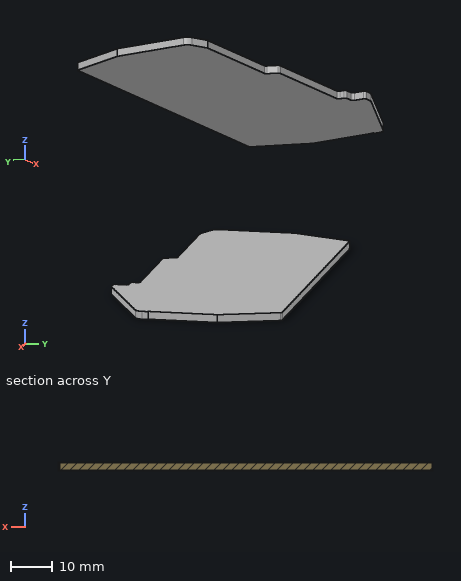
import cadquery as cq
import math

length = 90.85
width = 46.5
thickness = 2.0

lip = 0.3
body_right = length - lip
taper_run = 5.45
shoulder_y = 31.6
lip_top_y = 14.5

left_foot_y = 9.2
middle_foot_y = 5.9
notch_y = 3.7
left_foot_end = 32.0
middle_foot_start = 33.2
middle_foot_end = 60.3
toe_start = 63.3
toe_end = 66.0

slope = math.tan(math.radians(25))
left_slope_end = 5.3
left_slope_top = left_foot_y + left_slope_end * slope
right_slope_top = (length - toe_end) * slope

end_radius = 2.0
small_radius = 0.5

outline = [
    (taper_run, width),
    (body_right - taper_run, width),
    (body_right, shoulder_y),
    (body_right, lip_top_y),
    (length, lip_top_y),
    (length, right_slope_top),
    (toe_end, 0),
    (toe_start, 0),
    (toe_start, notch_y),
    (middle_foot_end, notch_y),
    (middle_foot_end, middle_foot_y),
    (middle_foot_start, middle_foot_y),
    (left_foot_end, left_foot_y),
    (left_slope_end, left_foot_y),
    (0, left_slope_top),
    (0, shoulder_y),
]


def round_corners(plate, corners, radius):
    """Round the upright edges that stand at the given outline corners."""
    edges = cq.Workplane("XY")
    for x, y in corners:
        corner_edge = plate.edges(cq.NearestToPointSelector((x, y, thickness / 2)))
        edges = edges.add(corner_edge.vals())
    return cq.Workplane(plate.val().fillet(radius, edges.vals()))


plate = cq.Workplane("XY").polyline(outline).close().extrude(thickness)

end_corners = [(0, left_slope_top), (length, right_slope_top)]
plate = round_corners(plate, end_corners, end_radius)

small_corners = [
    (taper_run, width),
    (body_right - taper_run, width),
    (toe_end, 0),
    (toe_start, 0),
    (toe_start, notch_y),
    (middle_foot_end, notch_y),
    (middle_foot_end, middle_foot_y),
    (middle_foot_start, middle_foot_y),
    (left_foot_end, left_foot_y),
]
result = round_corners(plate, small_corners, small_radius)